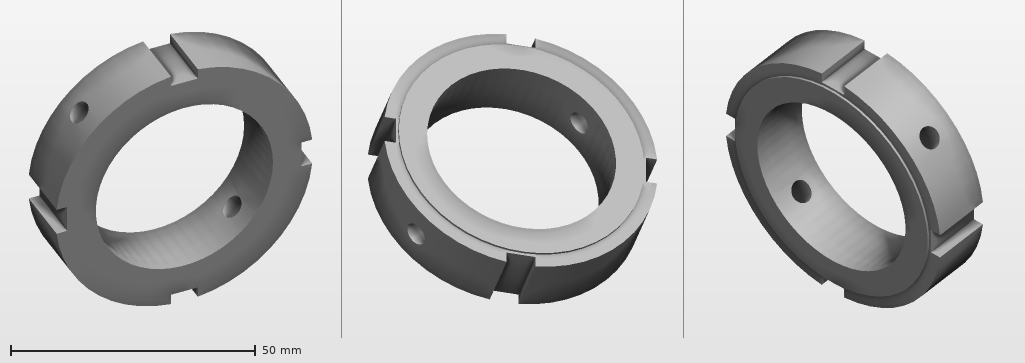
import cadquery as cq
import math

overall_length = 14.0
slot_width = 6.05
span_across_slots = 57.7
outer_radius = math.hypot(span_across_slots / 2, slot_width / 2)
bore_diameter = 40.0

collar_diameter = 52.0
collar_height = 0.5

slot_count = 4
slot_floor_radius = 26.5

hole_diameter = 4.9
hole_tilt = 45.0

x_min = -overall_length / 2
body_length = overall_length - collar_height


def axial_disc(diameter, x_start, length):
    """Solid cylinder along +X, beginning at x_start."""
    return cq.Workplane("YZ", origin=(x_start, 0, 0)).circle(diameter / 2).extrude(length)


def spanner_slot(angle):
    """Full-length slot cutter with a flat floor, turned about X."""
    cutter_height = 2 * (outer_radius - slot_floor_radius)
    return (
        cq.Workplane("XY", origin=(0, 0, slot_floor_radius))
        .box(2 * overall_length, slot_width, cutter_height, centered=(True, True, False))
        .rotate((0, 0, 0), (1, 0, 0), angle)
    )


def cross_hole():
    """Cutter along a full diameter, piercing both walls of the ring."""
    return (
        cq.Workplane("XY")
        .circle(hole_diameter / 2)
        .extrude(2 * outer_radius, both=True)
        .rotate((0, 0, 0), (1, 0, 0), hole_tilt)
    )


body = axial_disc(2 * outer_radius, x_min + collar_height, body_length)
collar = axial_disc(collar_diameter, x_min, overall_length / 2)
ring = body.union(collar).cut(axial_disc(bore_diameter, x_min, overall_length))

for index in range(slot_count):
    ring = ring.cut(spanner_slot(index * 360 / slot_count))

result = ring.cut(cross_hole())